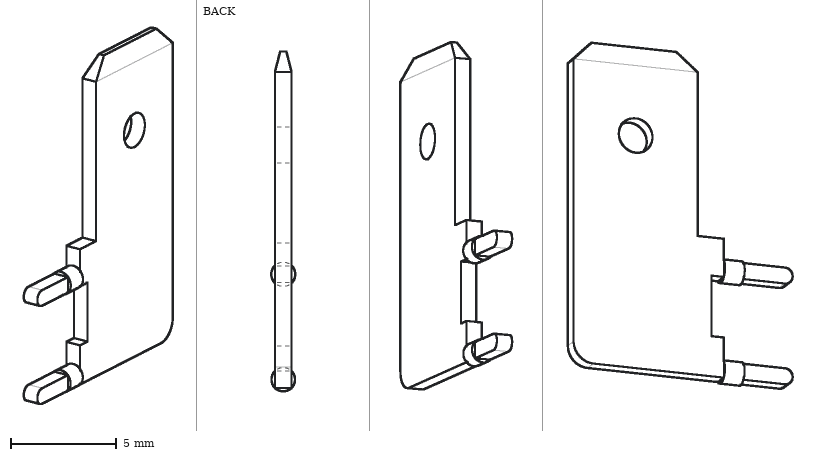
import cadquery as cq

thickness = 0.8
blade_width = 6.3
blade_height = 16.0
foot_corner_radius = 1.0

taper_height = 0.98
taper_run = 1.0
tip_thickness = 0.3

hole_diameter = 1.7
hole_height = 11.55

shoulder_reach = 7.62
shoulder_top = 6.9
recess_reach = 7.0
lower_shoulder_top = 2.0

pin_height = thickness
pin_pitch = 5.0
lower_pin_level = pin_height / 2
upper_pin_level = lower_pin_level + pin_pitch
recess_top = upper_pin_level - pin_height / 2
collar_length = 1.0
collar_reach = shoulder_reach + collar_length
pin_tip_reach = 11.12
lower_collar_diameter = 1.13
upper_collar_diameter = 1.15


def make_plate():
    """Flat blade with its shoulders, centred on X = 0, reaching from its back edge towards -Y."""
    plate = (
        cq.Workplane("YZ")
        .polyline([
            (0, 0),
            (-shoulder_reach, 0),
            (-shoulder_reach, lower_shoulder_top),
            (-recess_reach, lower_shoulder_top),
            (-recess_reach, recess_top),
            (-shoulder_reach, recess_top),
            (-shoulder_reach, shoulder_top),
            (-blade_width, shoulder_top),
            (-blade_width, blade_height - taper_height),
            (-blade_width + taper_run, blade_height),
            (-taper_run, blade_height),
            (0, blade_height - taper_height),
        ])
        .close()
        .extrude(thickness / 2, both=True)
    )
    foot_corner = cq.selectors.NearestToPointSelector((0, 0, 0))
    return plate.edges("|X").edges(foot_corner).fillet(foot_corner_radius)


def thin_the_tip(plate):
    """Taper both broad faces so the top edge narrows to the tip thickness."""
    taper_start = blade_height - taper_height
    envelope = (
        cq.Workplane("XZ")
        .polyline([
            (-thickness / 2, 0),
            (thickness / 2, 0),
            (thickness / 2, taper_start),
            (tip_thickness / 2, blade_height),
            (-tip_thickness / 2, blade_height),
            (-thickness / 2, taper_start),
        ])
        .close()
        .extrude(shoulder_reach)
    )
    return plate.intersect(envelope)


def drill_latching_hole(plate):
    """Cut the round hole on the blade's centre line."""
    drill = (
        cq.Workplane("YZ", origin=(-thickness / 2, -blade_width / 2, hole_height))
        .circle(hole_diameter / 2)
        .extrude(thickness)
    )
    return plate.cut(drill)


def make_pin(level, collar_diameter):
    """Square pin with a rounded end and a round collar against the shoulder."""
    collar = (
        cq.Workplane("XZ", origin=(0, -shoulder_reach, level))
        .circle(collar_diameter / 2)
        .extrude(collar_length)
    )
    half_height = pin_height / 2
    round_start = -pin_tip_reach + half_height
    shank = (
        cq.Workplane("YZ")
        .moveTo(-collar_reach, level - half_height)
        .lineTo(round_start, level - half_height)
        .threePointArc((-pin_tip_reach, level), (round_start, level + half_height))
        .lineTo(-collar_reach, level + half_height)
        .close()
        .extrude(thickness / 2, both=True)
    )
    return collar.union(shank)


blade = drill_latching_hole(thin_the_tip(make_plate()))
lower_pin = make_pin(lower_pin_level, lower_collar_diameter)
upper_pin = make_pin(upper_pin_level, upper_collar_diameter)
result = blade.union(lower_pin).union(upper_pin)